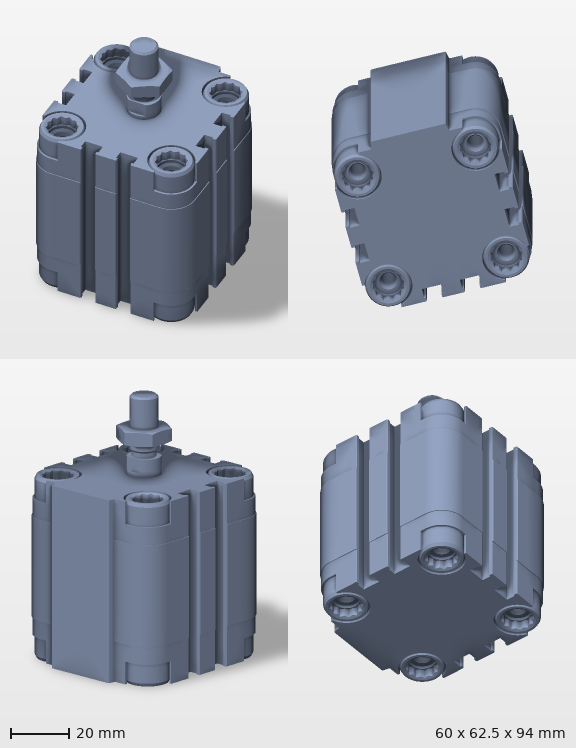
import cadquery as cq
import math


CAP_HEIGHT = 14.6
BARREL_HEIGHT = 36.5
BARREL_TOP = CAP_HEIGHT + BARREL_HEIGHT
HOUSING_TOP = BARREL_TOP + CAP_HEIGHT

BARREL_HALF_WIDTH = 30.0
CAP_HALF_WIDTH = 29.7
SCREW_OFFSET = 21.0
SCREW_POSITIONS = [(x, y) for x in (-SCREW_OFFSET, SCREW_OFFSET) for y in (-SCREW_OFFSET, SCREW_OFFSET)]

RIB_TOP_Y = 32.5
RIB_TOP_HALF_WIDTH = 13.35
RIB_BASE_HALF_WIDTH = 13.9
RIB_FILLET = 0.5

SLOT_OFFSET = 6.8
SLOT_FLOOR = 24.9
LIP_INNER = 28.3
SLOT_WIDTH = 6.8
MOUTH_WIDTH = 5.45
MOUTH_CHAMFER = 0.3

HEAD_RADIUS = 8.0
HEAD_CHAMFER_RADIAL = 0.7
HEAD_CHAMFER_HEIGHT = 1.2
POCKET_RADIUS = 8.3
POCKET_DEPTH = 8.2
POCKET_OPENING = 2.4

SOCKET_FLATS = 10.0
SOCKET_DEPTH = 3.8
RELIEF_RADIUS = 4.9
RELIEF_DEPTH = 1.1
SOCKET_RIM_RADIUS = 6.4
SOCKET_RIM_DEPTH = 0.7
SCREW_HOLE_RADIUS = 2.4
SCREW_HOLE_MOUTH_RADIUS = 3.2
SCREW_HOLE_MOUTH_DEPTH = 1.4

ROD_TOP = 94.0
ROD_BOTTOM = BARREL_TOP
COLLAR_RADIUS = 6.0
COLLAR_TOP = 72.0
COLLAR_FLATS = 10.1
FLATS_BOTTOM = 67.1
NECK_RADIUS = 4.2
NECK_TOP = 73.9
THREAD_RADIUS = 5.0
THREAD_CHAMFER = THREAD_RADIUS - NECK_RADIUS

NUT_FLATS = 17.0
NUT_BOTTOM = 77.4
NUT_HEIGHT = 5.2
NUT_FACE_RADIUS = 8.3
NUT_CHAMFER_ANGLE = 15.0

CLEARANCE = 0.9


def hexagon(flats, height, first_corner_angle):
    """Hexagonal prism on Z = 0, with its first corner at the given angle from +X."""
    across_corners = flats / math.cos(math.pi / 6)
    prism = cq.Workplane("XY").polygon(6, across_corners).extrude(height)
    return prism.rotate((0, 0, 0), (0, 0, 1), first_corner_angle)


def sensor_slot(half_width, height):
    """Cutter for one T-shaped slot in a section of the housing, open towards -Y."""
    half_mouth = MOUTH_WIDTH / 2
    half_slot = SLOT_WIDTH / 2
    flare = half_mouth + MOUTH_CHAMFER
    half_outline = [
        (half_slot, -SLOT_FLOOR),
        (half_slot, -LIP_INNER),
        (half_mouth, -LIP_INNER),
        (half_mouth, MOUTH_CHAMFER - half_width),
        (flare, -half_width),
        (flare, -half_width - CLEARANCE),
    ]
    mirrored_half = [(-x, y) for x, y in reversed(half_outline)]
    return cq.Workplane("XY").polyline(half_outline + mirrored_half).close().extrude(height)


def housing_section(half_width, bottom, height):
    """Square length of the housing with rounded corners, the rib on +Y and slots on the other sides."""
    block = (
        cq.Workplane("XY")
        .rect(2 * half_width, 2 * half_width)
        .extrude(height)
        .edges("|Z")
        .fillet(half_width - SCREW_OFFSET)
    )
    rib = (
        cq.Workplane("XY")
        .moveTo(-RIB_TOP_HALF_WIDTH, RIB_TOP_Y)
        .lineTo(-RIB_BASE_HALF_WIDTH, half_width)
        .lineTo(-RIB_BASE_HALF_WIDTH, 0)
        .lineTo(RIB_BASE_HALF_WIDTH, 0)
        .lineTo(RIB_BASE_HALF_WIDTH, half_width)
        .lineTo(RIB_TOP_HALF_WIDTH, RIB_TOP_Y)
        .close()
        .extrude(height)
    )
    rib_reach = RIB_BASE_HALF_WIDTH + CLEARANCE
    rib_edges = cq.selectors.BoxSelector(
        (-rib_reach, half_width - CLEARANCE, -CLEARANCE),
        (rib_reach, RIB_TOP_Y + CLEARANCE, height + CLEARANCE),
    )
    section = block.union(rib).edges("|Z").edges(rib_edges).fillet(RIB_FILLET)

    for side_angle in (-90, 0, 90):
        for offset in (-SLOT_OFFSET, SLOT_OFFSET):
            slot = sensor_slot(half_width, height).translate((offset, 0, 0))
            section = section.cut(slot.rotate((0, 0, 0), (0, 0, 1), side_angle))
    return section.translate((0, 0, bottom))


def corner_pocket():
    """Cutter for the pocket around the screw head in the +X +Y corner at the housing top."""
    corner_size = POCKET_OPENING + BARREL_HALF_WIDTH
    bottom = HOUSING_TOP - POCKET_DEPTH
    pocket = cq.Workplane("XY").circle(POCKET_RADIUS).extrude(POCKET_DEPTH)
    open_corner = (
        cq.Workplane("XY")
        .box(corner_size, corner_size, POCKET_DEPTH, centered=False)
        .translate((-POCKET_OPENING, -POCKET_OPENING, 0))
    )
    return pocket.union(open_corner).translate((SCREW_OFFSET, SCREW_OFFSET, bottom))


def screw_head():
    """Chamfered screw head in the +X +Y corner, its top level with the housing top."""
    chamfer_bottom = POCKET_DEPTH - HEAD_CHAMFER_HEIGHT
    head = (
        cq.Workplane("XZ")
        .moveTo(0, 0)
        .lineTo(HEAD_RADIUS, 0)
        .lineTo(HEAD_RADIUS, chamfer_bottom)
        .lineTo(HEAD_RADIUS - HEAD_CHAMFER_RADIAL, POCKET_DEPTH)
        .lineTo(0, POCKET_DEPTH)
        .close()
        .revolve(360, (0, 0), (0, 1))
    )
    return head.translate((SCREW_OFFSET, SCREW_OFFSET, HOUSING_TOP - POCKET_DEPTH))


def cone(bottom_radius, top_radius, height):
    """Truncated cone standing on Z = 0."""
    return cq.Workplane(cq.Solid.makeCone(bottom_radius, top_radius, height))


def screw_socket():
    """Cutter for the twelve-point socket of the screw head in the +X +Y corner."""
    socket = hexagon(SOCKET_FLATS, SOCKET_DEPTH, 0).union(hexagon(SOCKET_FLATS, SOCKET_DEPTH, 30))
    rim = cone(SOCKET_FLATS / 2, SOCKET_RIM_RADIUS, SOCKET_RIM_DEPTH)
    rim = rim.translate((0, 0, SOCKET_DEPTH - SOCKET_RIM_DEPTH))
    relief = cq.Workplane("XY").circle(RELIEF_RADIUS).extrude(-RELIEF_DEPTH)
    hole_mouth = cone(SCREW_HOLE_RADIUS, SCREW_HOLE_MOUTH_RADIUS, SCREW_HOLE_MOUTH_DEPTH)
    hole_mouth = hole_mouth.translate((0, 0, -RELIEF_DEPTH - SCREW_HOLE_MOUTH_DEPTH))
    cutter = socket.union(rim).union(relief).union(hole_mouth)
    return cutter.translate((SCREW_OFFSET, SCREW_OFFSET, HOUSING_TOP - SOCKET_DEPTH))


def at_all_corners(feature):
    """Copies of a feature of the +X +Y top corner at all four top and all four bottom corners."""
    copies = []
    for corner in range(4):
        top_copy = feature.rotate((0, 0, 0), (0, 0, 1), 90 * corner)
        copies.append(top_copy)
        copies.append(top_copy.mirror("XY", (0, 0, HOUSING_TOP / 2)))
    return copies


def make_housing():
    """Barrel, end caps and corner screw heads as one solid, bored through the top cap for the rod."""
    housing = housing_section(BARREL_HALF_WIDTH, CAP_HEIGHT, BARREL_HEIGHT)
    for cap_bottom in (0, BARREL_TOP):
        housing = housing.union(housing_section(CAP_HALF_WIDTH, cap_bottom, CAP_HEIGHT))

    for pocket in at_all_corners(corner_pocket()):
        housing = housing.cut(pocket)
    for head in at_all_corners(screw_head()):
        housing = housing.union(head)
    for socket in at_all_corners(screw_socket()):
        housing = housing.cut(socket)
    screw_holes = (
        cq.Workplane("XY").pushPoints(SCREW_POSITIONS).circle(SCREW_HOLE_RADIUS).extrude(HOUSING_TOP)
    )
    housing = housing.cut(screw_holes)

    rod_bore = cq.Workplane("XY").workplane(offset=ROD_BOTTOM).circle(COLLAR_RADIUS).extrude(CAP_HEIGHT)
    return housing.cut(rod_bore)


def make_rod():
    """Rod with its collar, neck and chamfered thread; its lower end sits in the top cap."""
    rod = (
        cq.Workplane("XZ")
        .moveTo(0, ROD_BOTTOM)
        .lineTo(COLLAR_RADIUS, ROD_BOTTOM)
        .lineTo(COLLAR_RADIUS, COLLAR_TOP)
        .lineTo(NECK_RADIUS, COLLAR_TOP)
        .lineTo(NECK_RADIUS, NECK_TOP)
        .lineTo(THREAD_RADIUS, NECK_TOP + THREAD_CHAMFER)
        .lineTo(THREAD_RADIUS, ROD_TOP - THREAD_CHAMFER)
        .lineTo(NECK_RADIUS, ROD_TOP)
        .lineTo(0, ROD_TOP)
        .close()
        .revolve(360, (0, 0), (0, 1))
    )
    for side in (-1, 1):
        flat = cq.Workplane("XY").box(
            2 * COLLAR_RADIUS, COLLAR_RADIUS, COLLAR_TOP - FLATS_BOTTOM, centered=(True, True, False)
        )
        flat_centre = side * (COLLAR_FLATS + COLLAR_RADIUS) / 2
        rod = rod.cut(flat.translate((0, flat_centre, FLATS_BOTTOM)))
    return rod


def make_nut():
    """Hexagonal lock nut with both faces chamfered."""
    corner_radius = NUT_FLATS / 2 / math.cos(math.pi / 6)
    chamfer_height = (corner_radius - NUT_FACE_RADIUS) * math.tan(math.radians(NUT_CHAMFER_ANGLE))
    turned_blank = (
        cq.Workplane("XZ")
        .moveTo(0, 0)
        .lineTo(NUT_FACE_RADIUS, 0)
        .lineTo(corner_radius, chamfer_height)
        .lineTo(corner_radius, NUT_HEIGHT - chamfer_height)
        .lineTo(NUT_FACE_RADIUS, NUT_HEIGHT)
        .lineTo(0, NUT_HEIGHT)
        .close()
        .revolve(360, (0, 0), (0, 1))
    )
    thread_hole = cq.Workplane("XY").circle(THREAD_RADIUS).extrude(NUT_HEIGHT)
    nut = hexagon(NUT_FLATS, NUT_HEIGHT, 30).intersect(turned_blank).cut(thread_hole)
    return nut.translate((0, 0, NUT_BOTTOM))


housing = make_housing()
rod = make_rod()
nut = make_nut()

result = cq.Compound.makeCompound([housing.val(), rod.val(), nut.val()])